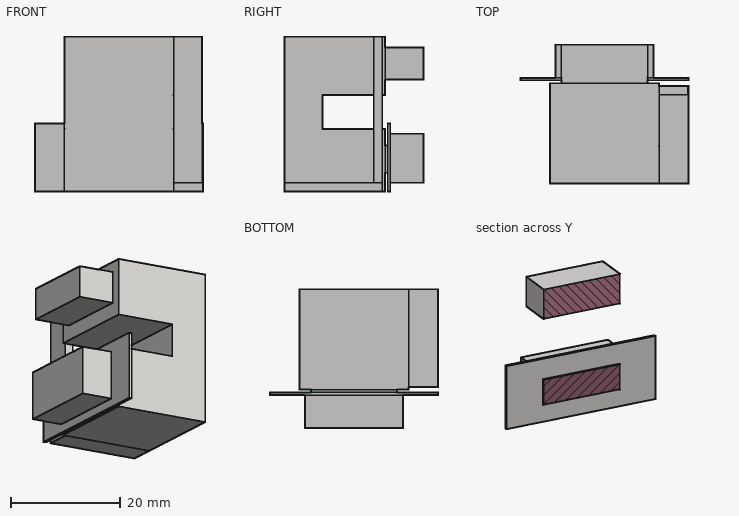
import cadquery as cq


HOUSING_LEFT = 5.4
HOUSING_WIDTH = 20.05
HOUSING_DEPTH = 18.45
HOUSING_HEIGHT = 28.43
SLOT_FRONT = 7.0
SLOT_BOTTOM = 11.53
SLOT_HEIGHT = 6.17
HOUSING_RIGHT = HOUSING_LEFT + HOUSING_WIDTH

REAR = 25.5
FLANGE_WIDTH = 30.85
CENTER_X = FLANGE_WIDTH / 2

UPPER_WIDTH = 15.85
UPPER_BOTTOM = 20.55
UPPER_HEIGHT = 5.92

FLANGE_GAP = 0.5
FLANGE_THICKNESS = 0.5
FLANGE_HEIGHT = 12.55
SHELL_WIDTH = 18.0
SHELL_HEIGHT = 9.0
SHELL_BOTTOM = 1.63
NECK_WIDTH = UPPER_WIDTH
NECK_HEIGHT = 5.05
NECK_BOTTOM = 3.45

BRACKET_THICKNESS = 1.6
BRACKET_BACK_INSET = 0.5
FOOT_RIGHT = FLANGE_WIDTH
UPRIGHT_END_INSET = 0.15


def box(x, y, z, width, depth, height):
    """Box placed by its left, front, bottom corner."""
    return cq.Workplane("XY").box(width, depth, height, centered=False).translate((x, y, z))


def centered_box(y, z, width, depth, height):
    """Box placed symmetrically about the connector centre line."""
    return box(CENTER_X - width / 2, y, z, width, depth, height)


def make_housing():
    block = box(HOUSING_LEFT, 0, 0, HOUSING_WIDTH, HOUSING_DEPTH, HOUSING_HEIGHT)
    slot_depth = HOUSING_DEPTH - SLOT_FRONT
    slot = box(HOUSING_LEFT, SLOT_FRONT, SLOT_BOTTOM, HOUSING_WIDTH, slot_depth, SLOT_HEIGHT)
    return block.cut(slot)


def make_upper_connector():
    depth = REAR - HOUSING_DEPTH
    return centered_box(HOUSING_DEPTH, UPPER_BOTTOM, UPPER_WIDTH, depth, UPPER_HEIGHT)


def make_lower_connector():
    flange_front = HOUSING_DEPTH + FLANGE_GAP
    flange_back = flange_front + FLANGE_THICKNESS
    neck = centered_box(HOUSING_DEPTH, NECK_BOTTOM, NECK_WIDTH, FLANGE_GAP, NECK_HEIGHT)
    flange = centered_box(flange_front, 0, FLANGE_WIDTH, FLANGE_THICKNESS, FLANGE_HEIGHT)
    shell = centered_box(flange_back, SHELL_BOTTOM, SHELL_WIDTH, REAR - flange_back, SHELL_HEIGHT)
    return neck.union(flange).union(shell)


def make_bracket():
    back = HOUSING_DEPTH - BRACKET_BACK_INSET
    foot_width = FOOT_RIGHT - HOUSING_RIGHT
    upright_width = foot_width - UPRIGHT_END_INSET
    upright_front = back - BRACKET_THICKNESS
    foot = box(HOUSING_RIGHT, 0, 0, foot_width, back, BRACKET_THICKNESS)
    upright = box(
        HOUSING_RIGHT, upright_front, BRACKET_THICKNESS,
        upright_width, BRACKET_THICKNESS, HOUSING_HEIGHT - BRACKET_THICKNESS,
    )
    return foot.union(upright)


housing = make_housing()
upper_connector = make_upper_connector()
lower_connector = make_lower_connector()
bracket = make_bracket()

result = cq.Compound.makeCompound([
    housing.val(),
    upper_connector.val(),
    lower_connector.val(),
    bracket.val(),
])